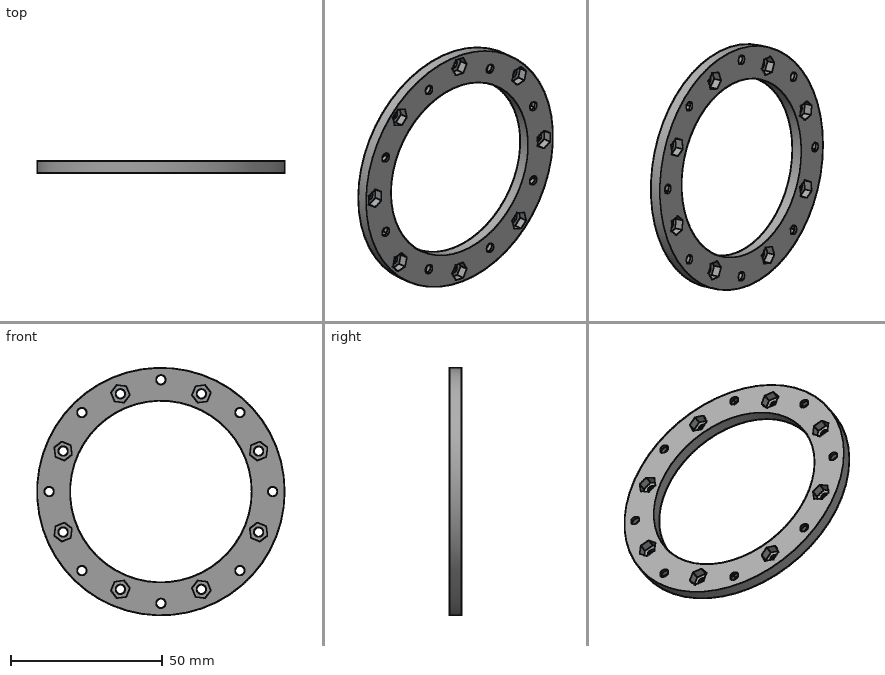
import cadquery as cq
import math

outer_diameter = 82.0
inner_diameter = 60.0
thickness = 4.0

holes_per_circle = 8
hole_pitch = 360.0 / holes_per_circle
hole_diameter = 3.0
front_circle_radius = 35.0
back_circle_radius = 37.0

nut_across_flats = 5.5
nut_across_corners = nut_across_flats / math.cos(math.radians(30))
nut_pocket_depth = 3.0
front_nut_turn = 0.0
back_nut_turn = 30.0

FRONT = -1
BACK = 1


def make_ring():
    return (
        cq.Workplane("XZ", origin=(0, -thickness / 2, 0))
        .circle(outer_diameter / 2)
        .circle(inner_diameter / 2)
        .extrude(-thickness)
    )


def nut_hole(radius, angle, side, nut_turn):
    """Through hole with a nut pocket sunk from the front (-Y) or back (+Y) face."""
    across = math.cos(math.radians(angle))
    up = math.sin(math.radians(angle))
    face = cq.Plane(
        origin=(radius * across, side * thickness / 2, radius * up),
        xDir=(across, 0, up),
        normal=(0, side, 0),
    )
    hole = cq.Workplane(face).circle(hole_diameter / 2).extrude(-thickness)
    pocket = (
        cq.Workplane(face)
        .transformed(rotate=(0, 0, nut_turn))
        .polygon(6, nut_across_corners)
        .extrude(-nut_pocket_depth)
    )
    return hole.union(pocket)


result = make_ring()
for index in range(holes_per_circle):
    back_angle = index * hole_pitch
    front_angle = back_angle + hole_pitch / 2
    result = result.cut(nut_hole(back_circle_radius, back_angle, BACK, back_nut_turn))
    result = result.cut(nut_hole(front_circle_radius, front_angle, FRONT, front_nut_turn))